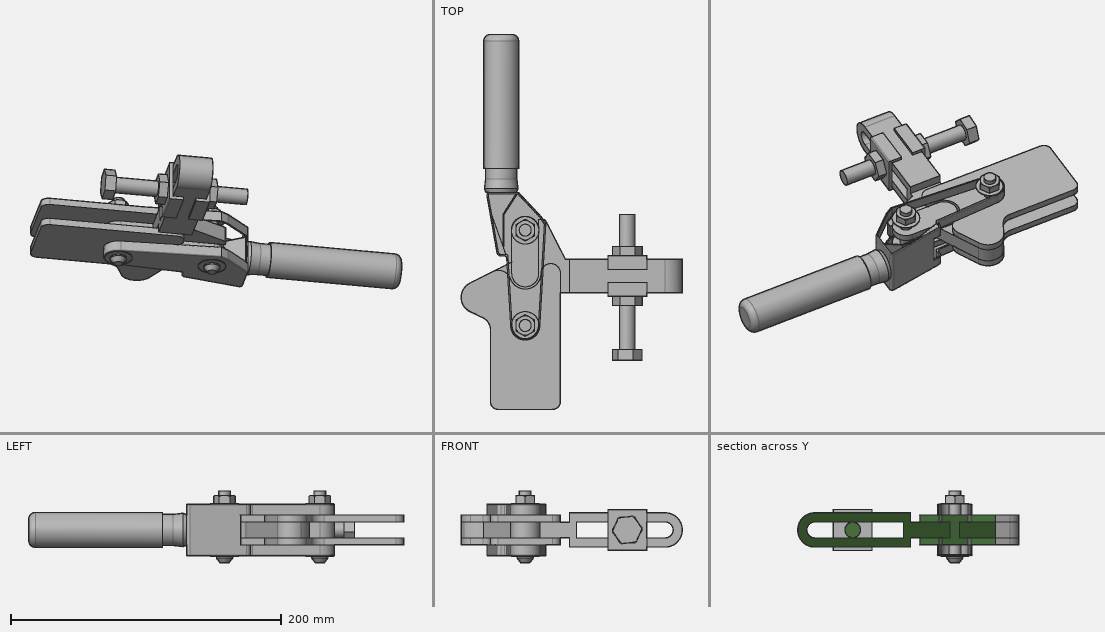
import cadquery as cq
import math


core_half = 5.8
plate_thick = 5.3
plate_top = core_half + plate_thick
bracket_half = 19.2
clearance = 2.8

pin_radius = 4.5
pin_spacing = 70.5
pin_centers = [(0, 0), (0, pin_spacing)]
pin_top = 29.0
washer_radius = 10.3
washer_thick = 0.5
nut_corners = 16.0
nut_chamfer = 0.8
nut_height = 5.8
pin_head_radius = 6.0
pin_head_tip_radius = 3.3
pin_head_rim = 1.0
pin_head_bottom = -24.5

base_left, base_right, base_bottom = -25.8, 26.0, -62.2
base_corner = 5.8
slope_angle = 26.6
slope_rise = 52.0
lobe_radius = 12.0
lobe_left = -47.5
under_angle = 25.0
inner_corner = 9.7
socket_radius = 11.7
right_hump_radius = 7.2
left_hump_radius = 9.5
bushing_radius = 6.7

link_radius = 10.0
link_pivot = (0, 38.5)
rivet_radius = 4.2

pivot_radius = 10.8
tail_corner = (-30.8, 7.8)
tail_root = 16.5
tail_lobe_end = 214.0
arm_left = 10.0
arm_inner_corner = 8.3
arm_top = 78.5
arm_peak = 14.7
arm_shoulder = 29.7
arm_peak_round = 2.8
bar_bottom, bar_top = 24.2, 49.2
core_right = 38.0
bar_left, bar_right = 32.8, 116.5
bar_half = 12.8

spindle_x = 75.5
bolt_radius = core_half
bolt_top, bolt_bottom = 82.2, -25.8
hex_width = 22.2
head_height = 8.0
head_turn = 8.0
spindle_nut_height = 6.7
clip_length = 29.0
clip_half = 15.3
clip_depth = 10.5
clip_thick = 2.8
clip_round = 0.8

wall = 1.0
rim_round = 0.5
bracket_top = 98.5
leg_radius = 10.8
web_end = 59.0
slant_start = -5.0
heel = (-20.5, 51.5)
leg_root = (-14.0, 51.5)
heel_round = 3.3
bend_round = 2.2
leg_root_round = 1.7
right_corners = [(15.3, 75.0), (12.0, 80.5)]
left_corner = -29.0
partition_points = [(-6.0, 97.8), (-16.0, 82.2), (-16.0, web_end)]
partition_thick = 0.8
lip_points = [(-25.8, 84.7), leg_root, heel]
grip_x = -17.8
grip_radius = 13.0
grip_top, grip_bottom = 215.5, 116.5
grip_round = 5.0
neck_radius, neck_bottom = 11.7, 108.6
collar_radius, collar_middle = 12.5, 101.5
collar_end_radius = 11.5


def polar(center, radius, degrees):
    """Point at an angle on a circle."""
    a = math.radians(degrees)
    return (center[0] + radius * math.cos(a), center[1] + radius * math.sin(a))


def slab(outline, low, high):
    """Extrude a closed XY outline between two heights."""
    return outline.extrude(high - low).translate((0, 0, low))


def disc(center, radius, low, high):
    """Upright cylinder between two heights."""
    return slab(cq.Workplane("XY").center(*center).circle(radius), low, high)


def box(x0, x1, y0, y1, z0, z1):
    """Block between two limits on each axis."""
    return cq.Workplane("XY").box(x1 - x0, y1 - y0, z1 - z0, centered=False).translate((x0, y0, z0))


def round_edge(body, corner, radius):
    """Round the upright edge nearest to a corner of the outline."""
    nearest = cq.selectors.NearestToPointSelector((corner[0], corner[1], 0))
    return body.edges("|Z").edges(nearest).fillet(radius)


def pin_holes(body, centers, radius):
    """Cut upright holes through the full height."""
    for center in centers:
        body = body.cut(disc(center, radius, -bracket_half - clearance, bracket_half + clearance))
    return body


slope = math.tan(math.radians(slope_angle))
slope_secant = math.hypot(1, slope)
slope_normal = 90 + slope_angle


def below_slope(x, distance):
    """Height at x of the line that runs parallel below the sloped edge."""
    return slope_rise + slope * x - distance * slope_secant


lobe_x = lobe_left + lobe_radius
lobe = (lobe_x, below_slope(lobe_x, lobe_radius))


def left_hump_center():
    """Centre of the left shoulder, tangent to the sloped edge and to the link recess."""
    reach = socket_radius + left_hump_radius
    offset = below_slope(0, left_hump_radius) - link_pivot[1]
    a, b, c = slope_secant ** 2, slope * offset, offset ** 2 - reach ** 2
    x = (-b - math.sqrt(b * b - a * c)) / a
    return (x, below_slope(x, left_hump_radius))


def base_outline():
    """Side plate with the lobe on the left and the link recess at the top."""
    hump = left_hump_center()
    toward_socket = math.degrees(math.atan2(link_pivot[1] - hump[1], -hump[0]))
    right_hump = (base_right - right_hump_radius, link_pivot[1])
    socket_end = 360.0
    socket_start = 180 + toward_socket
    lobe_end = 270 - under_angle
    lobe_exit = polar(lobe, lobe_radius, lobe_end)
    corner_start = 90 - under_angle
    corner_x = base_left - inner_corner
    start_x = polar((corner_x, 0), inner_corner, corner_start)[0]
    start_y = lobe_exit[1] - (start_x - lobe_exit[0]) * math.tan(math.radians(under_angle))
    corner = (corner_x, start_y - inner_corner * math.sin(math.radians(corner_start)))
    return (
        cq.Workplane("XY")
        .moveTo(base_left, base_bottom)
        .lineTo(base_right, base_bottom)
        .lineTo(base_right, right_hump[1])
        .threePointArc(polar(right_hump, right_hump_radius, 90), polar(right_hump, right_hump_radius, 180))
        .threePointArc(
            polar(link_pivot, socket_radius, (socket_start + socket_end) / 2),
            polar(link_pivot, socket_radius, socket_start),
        )
        .threePointArc(
            polar(hump, left_hump_radius, (toward_socket + slope_normal) / 2),
            polar(hump, left_hump_radius, slope_normal),
        )
        .lineTo(*polar(lobe, lobe_radius, slope_normal))
        .threePointArc(polar(lobe, lobe_radius, 180), lobe_exit)
        .lineTo(start_x, start_y)
        .threePointArc(
            polar(corner, inner_corner, corner_start / 2), polar(corner, inner_corner, 0)
        )
        .close()
    )


def make_base():
    """Two side plates joined by the bushing on which the arm swings."""
    body = disc((0, 0), bushing_radius, -core_half, core_half)
    for low in (core_half, -plate_top):
        plate = slab(base_outline(), low, low + plate_thick)
        body = body.union(plate.edges("|Z and <Y").fillet(base_corner))
    return pin_holes(body, pin_centers[:1], pin_radius)


def make_link():
    """Pair of links joined by their lower rivet."""
    body = disc(link_pivot, rivet_radius, -core_half, core_half)
    length = pin_spacing - link_pivot[1]
    middle = (pin_spacing + link_pivot[1]) / 2
    for low in (core_half, -plate_top):
        outline = cq.Workplane("XY").center(0, middle).slot2D(length + 2 * link_radius, 2 * link_radius, 90)
        body = body.union(slab(outline, low, low + plate_thick))
    return pin_holes(body, pin_centers[1:], pin_radius)


def arm_core_outline():
    """Pivot boss, bar seat and sloped tail that ends in the lobe."""
    leave = polar(lobe, lobe_radius, tail_lobe_end)
    run, rise = tail_corner[0] - leave[0], leave[1] - tail_corner[1]
    sweep_radius = (run ** 2 + rise ** 2) / (2 * rise)
    sweep_center = (tail_corner[0], tail_corner[1] + sweep_radius)
    sweep_angle = math.degrees(math.asin(run / sweep_radius))
    return (
        cq.Workplane("XY")
        .moveTo(-pivot_radius, 0)
        .threePointArc((0, -pivot_radius), (pivot_radius, 0))
        .lineTo(pivot_radius, bar_bottom)
        .lineTo(core_right, bar_bottom)
        .lineTo(core_right, bar_top)
        .lineTo(arm_shoulder, bar_top)
        .lineTo(arm_peak, arm_top)
        .lineTo(arm_left, arm_top)
        .lineTo(arm_left, below_slope(arm_left, 0))
        .lineTo(*polar(lobe, lobe_radius, slope_normal))
        .threePointArc(polar(lobe, lobe_radius, 180), leave)
        .threePointArc(polar(sweep_center, sweep_radius, 270 - sweep_angle / 2), tail_corner)
        .lineTo(-pivot_radius, tail_root)
        .close()
    )


def rounded_bar(half):
    """Bar along X whose right end is a half cylinder of the given half height."""
    bend_x = bar_right - bar_half
    bar = box(bar_left, bend_x, bar_bottom, bar_top, -half, half)
    end = cq.Workplane("XZ").center(bend_x, 0).circle(half).extrude(bar_bottom - bar_top)
    return bar.union(end.translate((0, bar_bottom, 0)))


def make_arm():
    """Core plate with a lobed tail and a pivot boss, and a slotted bar around its end."""
    core = slab(arm_core_outline(), -core_half, core_half)
    core = round_edge(core, (arm_peak, arm_top), arm_peak_round)
    core = round_edge(core, (arm_left, below_slope(arm_left, 0)), arm_inner_corner)
    bar = rounded_bar(bar_half).cut(rounded_bar(core_half))
    return pin_holes(core.union(bar), pin_centers[:1], bushing_radius).cut(
        disc(link_pivot, rivet_radius, -core_half, core_half)
    )


def along_y(radius, low, high):
    """Round bar on the spindle axis."""
    return cq.Workplane("XZ").center(spindle_x, 0).circle(radius).extrude(low - high).translate((0, low, 0))


def hex_along_y(low, high, turn):
    """Hexagonal block on the spindle axis."""
    block = cq.Workplane("XZ").polygon(6, hex_width).extrude(low - high)
    return block.rotate((0, 0, 0), (0, 1, 0), -turn).translate((spindle_x, low, 0))


def make_spindle():
    """Bolt with two nuts and two flanged clips that grip the bar."""
    body = along_y(bolt_radius, bolt_bottom, bolt_top)
    body = body.union(hex_along_y(bolt_bottom, bolt_bottom + head_height, head_turn))
    left, right = spindle_x - clip_length / 2, spindle_x + clip_length / 2
    upper, lower = bar_top + clip_thick, bar_bottom - clip_thick
    upper_clip = box(left, right, upper - clip_depth, upper, -clip_half, clip_half)
    lower_clip = box(left, right, lower, lower + clip_depth, -clip_half, clip_half)
    clips = upper_clip.edges("|X and >Y").fillet(clip_round)
    clips = clips.union(lower_clip.edges("|X and <Y").fillet(clip_round))
    body = body.union(clips.cut(box(left, right, bar_bottom, bar_top, -bar_half, bar_half)))
    body = body.union(hex_along_y(upper, upper + spindle_nut_height, 0))
    return body.union(hex_along_y(lower - spindle_nut_height, lower, 0))


def bracket_outline():
    """Sharp-cornered outline of the handle bracket, around the lower pin."""
    return (
        cq.Workplane("XY")
        .moveTo(-leg_radius, 0)
        .threePointArc((0, -leg_radius), (leg_radius, 0))
        .lineTo(*right_corners[0])
        .lineTo(*right_corners[1])
        .lineTo(slant_start, bracket_top)
        .lineTo(left_corner, bracket_top)
        .lineTo(*heel)
        .lineTo(*leg_root)
        .close()
    )


def make_handle():
    """Bracket with an open top, two legs and a cover underneath, carrying the round grip."""
    outer = slab(bracket_outline(), -bracket_half, bracket_half)
    outer = round_edge(round_edge(outer, heel, heel_round), leg_root, leg_root_round)
    outer = round_edge(outer, (left_corner, bracket_top), bend_round)
    inner = slab(bracket_outline().offset2D(-wall), wall - bracket_half, bracket_half)
    inner = round_edge(inner, heel, heel_round - wall)
    inner = round_edge(inner, (left_corner + wall, bracket_top - wall), bend_round - wall)
    bracket = outer.faces("<Z or >Z").edges().fillet(rim_round).cut(inner)

    gap_right = right_corners[0][0] + clearance
    gap_bottom = -leg_radius - clearance
    for gap_left, gap_top in ((left_corner, web_end), (slant_start, bracket_top)):
        bracket = bracket.cut(box(gap_left, gap_right, gap_bottom, gap_top, -plate_top, plate_top))

    partition = cq.Workplane("XY").polyline(partition_points).offset2D(partition_thick / 2)
    partition = slab(partition, wall - bracket_half, plate_top)
    bracket = bracket.union(partition.intersect(inner))
    lip = slab(cq.Workplane("XY").polyline(lip_points).close(), bracket_half - 2 * wall, bracket_half - wall)
    bracket = bracket.union(lip.intersect(inner))
    bracket = pin_holes(bracket, pin_centers, pin_radius)

    end_round = (grip_radius - grip_round, grip_top - grip_round)
    grip = (
        cq.Workplane("XY")
        .moveTo(0, bracket_top)
        .lineTo(collar_end_radius, bracket_top)
        .lineTo(collar_radius, collar_middle)
        .lineTo(neck_radius, neck_bottom)
        .lineTo(neck_radius, grip_bottom)
        .lineTo(grip_radius, grip_bottom)
        .lineTo(grip_radius, end_round[1])
        .threePointArc(polar(end_round, grip_round, 45), polar(end_round, grip_round, 90))
        .lineTo(0, grip_top)
        .close()
        .revolve(360, (0, 0, 0), (0, 1, 0))
        .translate((grip_x, 0, 0))
    )
    return bracket.union(grip)


def make_pin(center):
    """Pin with a domed head, two washers and a hexagonal nut."""
    washer_face = bracket_half + washer_thick
    body = disc((0, 0), pin_radius, -washer_face, pin_top)
    for low in (bracket_half, -washer_face):
        body = body.union(disc((0, 0), washer_radius, low, low + washer_thick))
    nut = cq.Workplane("XY").polygon(6, nut_corners).extrude(nut_height).rotate((0, 0, 0), (0, 0, 1), 90)
    blank = cq.Workplane("XY").circle(nut_corners / 2).extrude(nut_height).faces(">Z").chamfer(nut_chamfer)
    nut = nut.intersect(blank).translate((0, 0, washer_face))
    head = (
        cq.Workplane("XZ")
        .moveTo(0, -washer_face)
        .lineTo(pin_head_radius, -washer_face)
        .lineTo(pin_head_radius, -washer_face - pin_head_rim)
        .lineTo(pin_head_tip_radius, pin_head_bottom)
        .lineTo(0, pin_head_bottom)
        .close()
        .revolve(360, (0, 0, 0), (0, 1, 0))
    )
    return body.union(nut).union(head).translate((center[0], center[1], 0))


base = make_base()
link = make_link()
arm = make_arm()
spindle = make_spindle()
handle = make_handle()
pins = [make_pin(center) for center in pin_centers]

result = cq.Compound.makeCompound(
    [base.val(), link.val(), arm.val(), spindle.val(), handle.val(), *[pin.val() for pin in pins]]
)